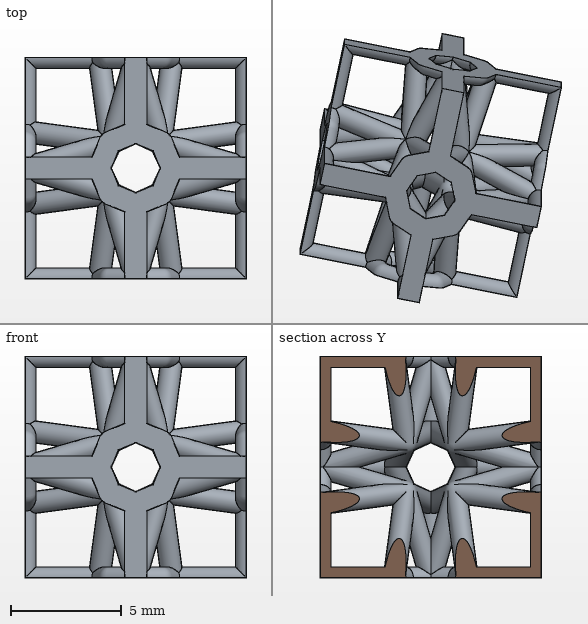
import cadquery as cq
import math

CELL = 10.0
STRUT_DIAMETER = 1.0
RING_RADIUS = 1.65
INNER_NODE = 1.13

HALF = CELL / 2
STRUT_RADIUS = STRUT_DIAMETER / 2
RING_DIAGONAL = RING_RADIUS * math.cos(math.radians(45))

ORIGIN = cq.Vector(0, 0, 0)
SPACE_DIAGONAL = cq.Vector(1, 1, 1)
FACES_PER_OCTANT = 3


def strut(start, end):
    """Round bar between two nodes."""
    axis = cq.Vector(*end) - cq.Vector(*start)
    return cq.Solid.makeCylinder(STRUT_RADIUS, axis.Length, cq.Vector(*start), axis)


def joint(node):
    """Ball that rounds off the struts meeting at a node."""
    ball = cq.Solid.makeSphere(STRUT_RADIUS, angleDegrees1=-90, angleDegrees2=90)
    return ball.translate(cq.Vector(*node))


def top_face_pieces():
    """Struts and joints of the +Z face that serve the all-positive octant."""
    inner = (INNER_NODE, INNER_NODE, INNER_NODE)
    diagonal = (RING_DIAGONAL, RING_DIAGONAL, HALF)
    pieces = [joint(inner), joint(diagonal)]
    for along_x, along_y in ((1, 0), (0, 1)):
        corner = (RING_RADIUS * along_x, RING_RADIUS * along_y, HALF)
        edge_middle = (HALF * along_x, HALF * along_y, HALF)
        pieces += [
            joint(corner),
            strut(corner, edge_middle),
            strut(corner, diagonal),
            strut(corner, inner),
        ]
    return pieces


def octant():
    """One eighth of the cell: the struts of three faces trimmed to the octant."""
    pieces = []
    for face in range(FACES_PER_OCTANT):
        turn = face * 360 / FACES_PER_OCTANT
        pieces += [piece.rotate(ORIGIN, SPACE_DIAGONAL, turn) for piece in top_face_pieces()]
    struts = cq.Workplane(obj=pieces[0].fuse(*pieces[1:]))
    return struts.intersect(cq.Workplane().box(HALF, HALF, HALF, centered=False))


result = octant()
for plane in ("YZ", "XZ", "XY"):
    result = result.union(result.mirror(plane))